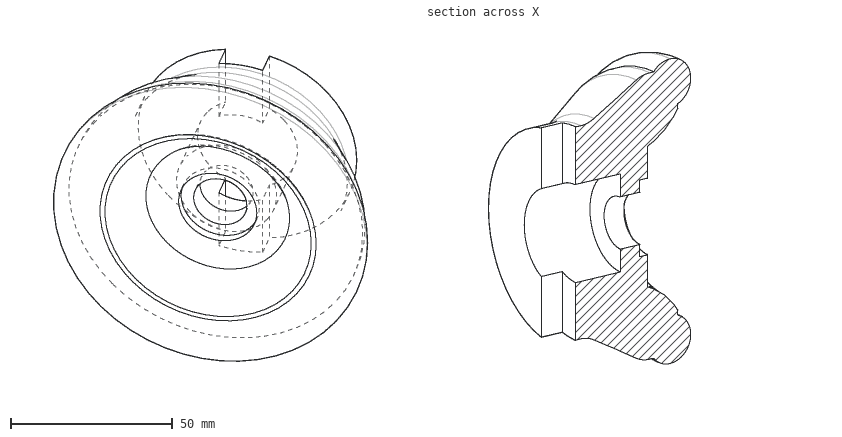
import cadquery as cq
import math

total_length = 52.0

rim_tube_radius = 8.0
rim_outer_radius = 50.0
rim_center_radius = rim_outer_radius - rim_tube_radius

neck_radius = 35.0
neck_length = 10.0
shoulder_radius = 47.0
flare_angle = math.radians(30.0)
blend_radius = 10.0

ledge_depth = 5.0
recess_mouth_radius = 33.0
recess_floor_radius = 23.0
recess_floor_depth = 16.5
recess_wall_radius = 24.0

bore_radius = 8.5
bore_length = 7.5
counterbore_radius = 12.5
counterbore_depth = 3.0
back_recess_radius = 16.0

slot_width = 14.0
slot_depth = 8.0


def make_body():
    """Solid turned body: a straight neck flaring out to the shoulder."""
    blend_length = blend_radius * math.sin(flare_angle)
    blend_rise = blend_radius * (1 - math.cos(flare_angle))
    half_blend_length = blend_radius * math.sin(flare_angle / 2)
    half_blend_rise = blend_radius * (1 - math.cos(flare_angle / 2))
    cone_rise = shoulder_radius - neck_radius - 2 * blend_rise
    cone_length = cone_rise / math.tan(flare_angle)

    neck_end = total_length - neck_length
    cone_back = neck_end - blend_length
    cone_front = cone_back - cone_length
    shoulder_end = cone_front - blend_length

    profile = (
        cq.Workplane("XY")
        .moveTo(0, ledge_depth)
        .lineTo(rim_center_radius, ledge_depth)
        .lineTo(rim_center_radius, rim_tube_radius)
        .lineTo(shoulder_radius, rim_tube_radius)
        .lineTo(shoulder_radius, shoulder_end)
        .threePointArc(
            (shoulder_radius - half_blend_rise, shoulder_end + half_blend_length),
            (shoulder_radius - blend_rise, cone_front),
        )
        .lineTo(neck_radius + blend_rise, cone_back)
        .threePointArc(
            (neck_radius + half_blend_rise, neck_end - half_blend_length),
            (neck_radius, neck_end),
        )
        .lineTo(neck_radius, total_length)
        .lineTo(0, total_length)
        .close()
    )
    return profile.revolve(360, (0, 0, 0), (0, 1, 0))


def make_rim():
    """Ring of round section around the front of the body."""
    section = cq.Workplane("XY").center(rim_center_radius, rim_tube_radius).circle(rim_tube_radius)
    return section.revolve(360, (-rim_center_radius, 0, 0), (-rim_center_radius, 1, 0))


def make_recess():
    """Turned cutter for the front recess, from the ledge to the floor."""
    profile = (
        cq.Workplane("XY")
        .moveTo(0, ledge_depth)
        .lineTo(recess_mouth_radius, ledge_depth)
        .radiusArc((recess_floor_radius, recess_floor_depth), recess_wall_radius)
        .lineTo(0, recess_floor_depth)
        .close()
    )
    return profile.revolve(360, (0, 0, 0), (0, 1, 0))


def make_cylinder(radius, start, end):
    """Cylinder on the Y axis between two Y positions."""
    return cq.Workplane("XZ", origin=(0, start, 0)).circle(radius).extrude(start - end)


def make_slot():
    """Straight slot running along Z through the back face."""
    slot = cq.Workplane("XY").box(slot_width, slot_depth, 2 * neck_radius)
    return slot.translate((0, total_length - slot_depth / 2, 0))


counterbore_end = recess_floor_depth + counterbore_depth
bore_end = counterbore_end + bore_length

result = (
    make_body()
    .union(make_rim())
    .cut(make_recess())
    .cut(make_cylinder(counterbore_radius, recess_floor_depth, counterbore_end))
    .cut(make_cylinder(bore_radius, counterbore_end, bore_end))
    .cut(make_cylinder(back_recess_radius, bore_end, total_length))
    .cut(make_slot())
)